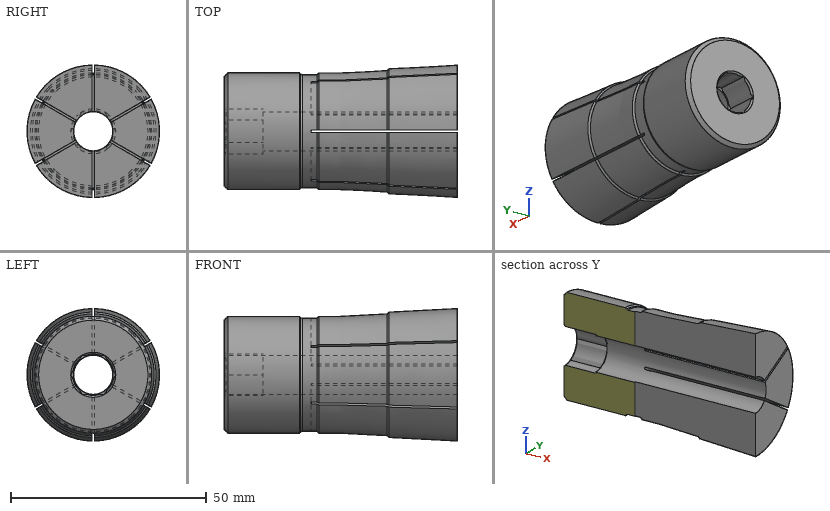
import cadquery as cq
import math

total_length = 59.8
rear_body_end = 19.3
neck_start = 20.1
neck_end = 23.8
collar_start = 24.3
first_cone_start = 29.8
first_cone_end = 41.8
second_cone_start = 42.3

body_radius = 30 / 2
neck_radius = 29 / 2
front_radius = 34 / 2
rear_chamfer = 1.0
neck_edge_chamfer = 0.35
cone_angle = math.radians(3)

bore_diameter = 10.0
hex_across_flats = 10.0
hex_across_corners = hex_across_flats / math.cos(math.pi / 6)
hex_relief_diameter = 10.6
hex_depth = 10.0

slot_count = 6
slot_width = 0.6
slot_start = 22.3


def cone_rise(start, end):
    """Radius gained between two places along a cone."""
    return (end - start) * math.tan(cone_angle)


def turned_body():
    """Solid of revolution: plain rear, neck, collar and two stepped cones."""
    first_cone_radius = body_radius + cone_rise(first_cone_start, first_cone_end)
    second_cone_radius = front_radius - cone_rise(second_cone_start, total_length)
    profile = (
        cq.Workplane("XY")
        .moveTo(0, 0)
        .lineTo(0, body_radius - rear_chamfer)
        .lineTo(rear_chamfer, body_radius)
        .lineTo(rear_body_end, body_radius)
        .lineTo(rear_body_end + neck_edge_chamfer, body_radius - neck_edge_chamfer)
        .lineTo(neck_start, neck_radius)
        .lineTo(neck_end, neck_radius)
        .lineTo(collar_start, body_radius)
        .lineTo(first_cone_start, body_radius)
        .lineTo(first_cone_end, first_cone_radius)
        .lineTo(second_cone_start, second_cone_radius)
        .lineTo(total_length, front_radius)
        .lineTo(total_length, 0)
        .close()
    )
    return profile.revolve(360, (0, 0, 0), (1, 0, 0))


def bore_and_socket():
    """Through bore, with a relieved and countersunk hexagon socket at the rear."""
    rear = cq.Workplane("YZ")
    bore = rear.circle(bore_diameter / 2).extrude(total_length)
    hexagon = rear.polygon(6, hex_across_corners).extrude(hex_depth)
    relief = rear.circle(hex_relief_diameter / 2).extrude(hex_depth)
    rim_radius = hex_across_corners / 2
    countersink_depth = rim_radius - hex_relief_diameter / 2
    countersink = cq.Workplane(
        cq.Solid.makeCone(
            rim_radius,
            hex_relief_diameter / 2,
            countersink_depth,
            cq.Vector(0, 0, 0),
            cq.Vector(1, 0, 0),
        )
    )
    return bore.union(relief).union(hexagon).union(countersink)


def finger_slot(angle):
    """Radial slot from the axis outward, with a rounded rear end, turned about X."""
    half_width = slot_width / 2
    round_center = slot_start + half_width
    outline = (
        cq.Workplane("XY")
        .moveTo(round_center, -half_width)
        .lineTo(total_length, -half_width)
        .lineTo(total_length, half_width)
        .lineTo(round_center, half_width)
        .threePointArc((slot_start, 0), (round_center, -half_width))
        .close()
    )
    return outline.extrude(front_radius).rotate((0, 0, 0), (1, 0, 0), angle)


result = turned_body().cut(bore_and_socket())
for index in range(slot_count):
    result = result.cut(finger_slot(index * 360 / slot_count))